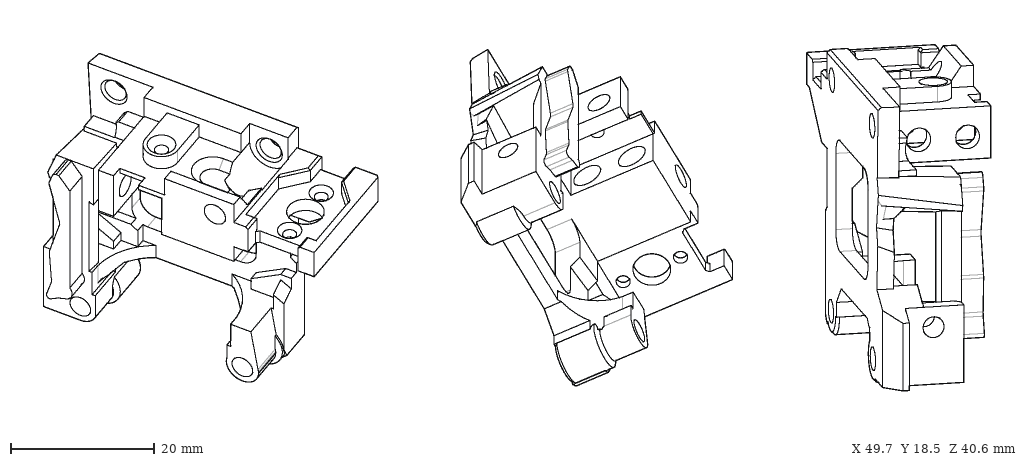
import cadquery as cq
WIDTH = 49.72
DEPTH = 18.48
HEIGHT = 40.57

FRAME_RIGHT = 36.83
FRAME_FOOT_Z = 8.27
FRAME_FRONT_Y = 16.1
PLATE_FRONT_Y = 15.48
LEFT_COLUMN_FRONT_Y = 14.15
RIGHT_COLUMN_FRONT_Y = 14.6
LEFT_COLUMN_SLOPE = 0.42
RIGHT_COLUMN_SLOPE = 0.245
COLUMN_FOOT_Z = 21.8
COLUMN_BEVEL_SLOPE = 0.94
BEAM_FRONT_Y = 12.9
BEAM_TOP_Z = 31.1
BACK_CHAMFER = 0.45
WINDOW_LEFT = 11.45
WINDOW_RIGHT = 31.37
WINDOW_BOTTOM = 13.45
WINDOW_TOP = 29.48
WINDOW_RADIUS = 2.5
RIGHT_LEG_X = 37.8
FIN_FRONT_Y = 12.56
HEEL_BEVEL_LENGTH = 0.85

LUG_RADIUS = 3.35
LUG_Z = LUG_RADIUS
LUG_FRONT_Y = 11.7
LUG_FULL_Y = 12.24
LEFT_LUG_X = 8.4
RIGHT_LUG_X = 34.38
LUG_HOLE_D = 3.3
ARM_RADIUS = 2.5
ARM_FRONT_Y = 6.8
ARM_STEP_Z = 6.4
SHELF_Z = 10.55
WEB_MOUTH_OFFSET = 6.9
WEB_MIDDLE_OFFSET = 3.3
WEB_MIDDLE_Y = 12.7
WEB_END_OFFSET = 1.9

BASE_LEFT = 2.5
BASE_BOTTOM = 0.76
BASE_TOP = 12.0
BASE_RIGHT = LEFT_LUG_X + ARM_RADIUS - 0.1
FLANGE_FRONT_Y = 15.2
WEDGE_FRONT_Y = FIN_FRONT_Y
WEDGE_TOP_Z = 14.25
WEDGE_RIDGE_X = 6.4
BAR_RIGHT = 13.2
BAR_FRONT_Y = 14.65
BASE_CURB_RIGHT = 4.8
BASE_HOLE_Y = 11.15
BASE_HOLE_Z = 9.03
BASE_HOLE_D = 3.0

POST_LEFT = 4.06
POST_RIGHT = 9.8
POST_BACK_Y = 9.1
SHOULDER_TOP_Z = 30.0
SHOULDER_RIGHT = 10.5
SHOULDER_LEAN = 0.35
POST_LEAN = 0.25
STRIP_FRONT_Y = 3.27

BLOCK_LEFT = 15.14
BLOCK_TOP_Z = 37.05
BLOCK_BACK_Y = 13.0
CAVITY_LEFT = 17.55
CAVITY_RIGHT = 25.26
CAVITY_TOP_Z = 36.2
NOTCH_RIGHT = 21.57
NOTCH_DEPTH = 1.8
WALL_LEFT = 25.75
WALL_TOP_Z = 40.1
WALL_TOP_DEPTH = 1.8
WALL_FOOT_DEPTH = 3.9
PAD_X = 21.4
PAD_Y = 6.83
PAD_WIDTH = 5.14
PAD_TOP_Z = 39.3
PAD_HOLE_D = 2.0
PAD_SINK_D = 4.0
SIDE_HOLE_D = 3.4
SIDE_HOLE_Z = 32.75
SIDE_HOLE_YS = (3.34, 10.34)
INNER_HOLE_D = 4.2
INNER_HOLE_END_X = 30.0
HEAD_RADIUS = 3.0
CLIP_LEFT = 10.5
CLIP_TOP_Z = 34.3
CLIP_CHAMFER = 0.6

TOP_HOLE_Z = 36.95
TOP_HOLE_D = 3.4
LEFT_TOP_HOLE_X = 8.92
TOP_SINK_D = 4.2
BARREL_X = 33.8
BARREL_RADIUS = 3.13
BARREL_END_Y = 8.0
BARREL_CONE_END_Y = 6.75
BARREL_CONE_TIP_RADIUS = 1.9
RELIEF_X = 29.15
RELIEF_Y = 7.67
RELIEF_TOP_RADIUS = 3.0
RELIEF_FLOOR_RADIUS = 1.8

RAIL_BOTTOM = 32.2
RAIL_FLOOR_Z = 34.3
RAIL_TOP = 36.75
RAIL_X = 43.1
RAIL_POCKET_HALF = 5.62
RAIL_THROAT_HALF = 2.5
RAIL_BEND_Y = 11.6
RAIL_THROAT_Y = 15.1
RAIL_NOTCH_CORNER = 0.45
RAIL_JAW_HALF = 4.0
RAIL_NOTCH_DEPTH = 2.65
RAIL_CHAMFER = 0.35
RAIL_CORNER_CHAMFER = 0.3
GUSSET_FOOT_Z = 26.27
GUSSET_FOOT_X = 40.2
GUSSET_TIP_X = 47.8
RAIL_HOLE_Y = 9.28
RAIL_HOLE_D = 5.25
RAIL_SCREW_OFFSET = 4.5
RAIL_SCREW_D = 1.95
RAIL_SINK_D = 3.4

OVER = 1.0


def box(x0, x1, y0, y1, z0, z1):
    return cq.Workplane("XY").box(x1 - x0, y1 - y0, z1 - z0, centered=False).translate((x0, y0, z0))


def prism_x(points, x0, x1):
    return cq.Workplane("YZ", origin=(x0, 0, 0)).polyline(points).close().extrude(x1 - x0)


def prism_y(points, y0, y1):
    return cq.Workplane("XZ", origin=(0, y0, 0)).polyline(points).close().extrude(y0 - y1)


def prism_z(points, z0, z1):
    return cq.Workplane("XY", origin=(0, 0, z0)).polyline(points).close().extrude(z1 - z0)


def rod_x(y, z, radius, x0, x1):
    return cq.Workplane("YZ", origin=(x0, y, z)).circle(radius).extrude(x1 - x0)


def rod_y(x, z, radius, y0, y1):
    return cq.Workplane("XZ", origin=(x, y0, z)).circle(radius).extrude(y0 - y1)


def rod_z(x, y, radius, z0, z1):
    return cq.Workplane("XY", origin=(x, y, z0)).circle(radius).extrude(z1 - z0)


def cone(start, direction, radius_start, radius_end, length):
    solid = cq.Solid.makeCone(radius_start, radius_end, length, cq.Vector(*start), cq.Vector(*direction))
    return cq.Workplane(obj=solid)


def ruled(sections):
    wires = [cq.Wire.makePolygon([cq.Vector(*p) for p in section], close=True) for section in sections]
    return cq.Workplane(obj=cq.Solid.makeLoft(wires, True))


def ruled_y(points_a, y_a, points_b, y_b):
    return ruled([[(x, y_a, z) for x, z in points_a], [(x, y_b, z) for x, z in points_b]])


def countersunk_hole_z(x, y, z_top, hole_d, sink_d, z_bottom):
    depth = (sink_d - hole_d) / 2
    hole = rod_z(x, y, hole_d / 2, z_bottom, z_top + OVER)
    return hole.union(cone((x, y, z_top), (0, 0, -1), sink_d / 2, hole_d / 2, depth))


def frame():
    """Thin window frame; the kinks of its left edge dip slightly toward the front."""
    left_back = [(5.95, 30.3), (5.05, 27.9), (6.15, 22.9), (5.4, 20.4), (5.95, 14.0), (5.95, FRAME_FOOT_Z)]
    left_front = [(5.8, 30.1), (4.85, 27.55), (6.1, 22.4), (5.35, 19.4), (5.95, 13.8), (5.95, FRAME_FOOT_Z)]
    right_edge = [
        (33.0, FRAME_FOOT_Z),
        (33.0, LUG_Z),
        (RIGHT_LEG_X, LUG_Z),
        (RIGHT_LEG_X, 17.0),
        (FRAME_RIGHT, 17.8),
        (FRAME_RIGHT, 30.4),
    ]
    body = ruled_y(left_front + right_edge, FRAME_FRONT_Y, left_back + right_edge, DEPTH)
    beam = box(5.6, FRAME_RIGHT, BEAM_FRONT_Y, FRAME_FRONT_Y, WINDOW_TOP, BEAM_TOP_Z)
    return body.union(beam)


def top_plate():
    """Upper plate, thicker behind the block, with its left edge leaning in plan."""
    foot_z = BEAM_TOP_Z - 0.9
    top_x = 4.74
    foot_x = 5.25
    lean = 0.46
    right_edge = [(FRAME_RIGHT, foot_z), (FRAME_RIGHT, HEIGHT)]
    back = [(top_x + lean, HEIGHT), (foot_x + lean, foot_z)] + right_edge
    front = [(top_x, HEIGHT), (foot_x, foot_z)] + right_edge
    plate = ruled_y(front, PLATE_FRONT_Y, back, DEPTH)
    plate = plate.union(box(BLOCK_LEFT, FRAME_RIGHT, BLOCK_BACK_Y, DEPTH, WINDOW_TOP, HEIGHT))
    corner = [(DEPTH - BACK_CHAMFER, HEIGHT), (DEPTH, HEIGHT - BACK_CHAMFER), (DEPTH, HEIGHT)]
    return plate.cut(prism_x(corner, 0, WIDTH))


def bevelled_column(x_inner, x_outer, slope, front_y):
    """Thick upper end of a frame leg; its underside climbs away from the window."""
    toward_window = WINDOW_RADIUS if x_inner > x_outer else -WINDOW_RADIUS
    x_start = x_inner + toward_window
    bevel_top_z = COLUMN_FOOT_Z + (FRAME_FRONT_Y - front_y) * COLUMN_BEVEL_SLOPE

    def section(x):
        rise = (abs(x - x_start) - WINDOW_RADIUS) * slope
        return [
            (x, DEPTH, WINDOW_TOP),
            (x, front_y, WINDOW_TOP),
            (x, front_y, bevel_top_z + rise),
            (x, FRAME_FRONT_Y, COLUMN_FOOT_Z + rise),
            (x, DEPTH, COLUMN_FOOT_Z + rise),
        ]

    return ruled([section(x_start), section(x_outer)])


def left_column():
    """Left leg's thick upper end, trimmed to the leaning outer face of the frame."""
    column = bevelled_column(WINDOW_LEFT, POST_LEFT, LEFT_COLUMN_SLOPE, LEFT_COLUMN_FRONT_Y)
    foot_z = COLUMN_FOOT_Z - OVER
    right = WINDOW_LEFT + WINDOW_RADIUS
    front = [(4.5, 27.3), (5.85, foot_z), (right, foot_z), (right, WINDOW_TOP), (5.35, WINDOW_TOP)]
    back = [(5.15, 27.9), (6.7, foot_z), (right, foot_z), (right, WINDOW_TOP), (5.85, WINDOW_TOP)]
    return column.intersect(ruled_y(front, LEFT_COLUMN_FRONT_Y, back, DEPTH))


def shoulder():
    """Sloping bridge from the frame forward to the top of the post."""
    front = [(4.54, 30.0), (3.17, 26.2), (3.45, 25.3), (BAR_RIGHT, 22.5), (BAR_RIGHT, 30.0)]
    back = [(5.9, 30.4), (5.0, 27.9), (5.45, 26.3), (BAR_RIGHT, 23.2), (BAR_RIGHT, 30.4)]
    body = ruled_y(front, ARM_FRONT_Y, back, DEPTH)
    plan = [
        (0, ARM_FRONT_Y),
        (SHOULDER_RIGHT, ARM_FRONT_Y),
        (SHOULDER_RIGHT + SHOULDER_LEAN, LEFT_COLUMN_FRONT_Y),
        (SHOULDER_RIGHT + SHOULDER_LEAN, DEPTH),
        (0, DEPTH),
    ]
    return body.intersect(prism_z(plan, 0, HEIGHT))


def post():
    lean = POST_BACK_Y - ARM_FRONT_Y
    plan = [
        (POST_LEFT, ARM_FRONT_Y),
        (POST_RIGHT, ARM_FRONT_Y),
        (POST_RIGHT + POST_LEAN, POST_BACK_Y),
        (POST_LEFT + lean, POST_BACK_Y),
    ]
    return prism_z(plan, SHELF_Z - OVER, SHOULDER_TOP_Z - OVER)


def spring_strip():
    return (
        cq.Workplane("XZ", origin=(0, STRIP_FRONT_Y, 0))
        .moveTo(6.95, 29.9)
        .lineTo(6.5, 29.95)
        .threePointArc((6.15, 29.8), (5.85, 29.35))
        .lineTo(5.42, 28.1)
        .threePointArc((5.35, 27.8), (5.42, 27.5))
        .lineTo(6.98, 21.5)
        .threePointArc((7.08, 21.0), (6.98, 20.55))
        .lineTo(5.5, 15.4)
        .threePointArc((5.44, 15.15), (5.42, 14.9))
        .lineTo(5.76, 9.9)
        .threePointArc((5.75, 9.6), (5.7, 9.3))
        .lineTo(4.98, 7.0)
        .threePointArc((5.15, 6.4), (5.8, 6.4))
        .lineTo(6.85, 7.0)
        .lineTo(8.45, 7.5)
        .threePointArc((9.05, 8.5), (8.7, 9.7))
        .lineTo(8.7, 27.8)
        .close()
        .extrude(STRIP_FRONT_Y - ARM_FRONT_Y)
    )


def base():
    """Drilled block under the post, with a ridged wedge and a side flange behind it."""
    block = box(BASE_LEFT, BASE_RIGHT, ARM_FRONT_Y, FRAME_FRONT_Y, BASE_BOTTOM, SHELF_Z)
    curb = box(BASE_LEFT, BASE_CURB_RIGHT, ARM_FRONT_Y, WEDGE_FRONT_Y, SHELF_Z, BASE_TOP)
    wedge_outline = [
        (0, BASE_BOTTOM),
        (0, SHELF_Z),
        (WEDGE_RIDGE_X, WEDGE_TOP_Z),
        (SHOULDER_RIGHT, BASE_TOP),
        (SHOULDER_RIGHT, BASE_BOTTOM),
    ]
    plan = [
        (BASE_LEFT, WEDGE_FRONT_Y),
        (BAR_RIGHT, WEDGE_FRONT_Y),
        (BAR_RIGHT, DEPTH),
        (DEPTH - FRAME_FRONT_Y, DEPTH),
        (0, FRAME_FRONT_Y),
        (0, FLANGE_FRONT_Y),
        (BASE_LEFT, FLANGE_FRONT_Y),
    ]
    wedge = prism_y(wedge_outline, WEDGE_FRONT_Y, DEPTH).intersect(prism_z(plan, 0, HEIGHT))
    bar = box(WEDGE_RIDGE_X, BAR_RIGHT, BAR_FRONT_Y, FRAME_FRONT_Y, SHELF_Z, WEDGE_TOP_Z)
    body = block.union(curb).union(wedge).union(bar)
    corner = box(LEFT_LUG_X, BAR_RIGHT, 0, DEPTH, 0, LUG_Z)
    corner = corner.cut(rod_y(LEFT_LUG_X, LUG_Z, LUG_Z - BASE_BOTTOM, 0, DEPTH))
    side_relief = box(LEFT_LUG_X + WEB_END_OFFSET, BAR_RIGHT, 0, WEDGE_FRONT_Y, ARM_STEP_Z, SHELF_Z)
    hole = rod_x(BASE_HOLE_Y, BASE_HOLE_Z, BASE_HOLE_D / 2, 0, BASE_RIGHT)
    return body.cut(corner).cut(side_relief).cut(hole)


def lug(x):
    """Round lug with a small back chamfer and a steep cone at its front end."""
    cone_length = LUG_FULL_Y - LUG_FRONT_Y
    body = rod_y(x, LUG_Z, LUG_RADIUS, LUG_FULL_Y, DEPTH).faces(">Y").edges().chamfer(BACK_CHAMFER)
    return body.union(cone((x, LUG_FULL_Y, LUG_Z), (0, -1, 0), LUG_RADIUS, LUG_Z - BASE_BOTTOM, cone_length))


def curved_web(lug_x, side, outline):
    """Web between the lower beam and a foot, hollowed by an upright curved face."""
    mouth_x = lug_x - side * WEB_MOUTH_OFFSET
    middle = (lug_x - side * WEB_MIDDLE_OFFSET, WEB_MIDDLE_Y)
    end = (lug_x - side * WEB_END_OFFSET, ARM_FRONT_Y)
    plan = (
        cq.Workplane("XY")
        .moveTo(mouth_x, FRAME_FRONT_Y)
        .threePointArc(middle, end)
        .lineTo(lug_x, ARM_FRONT_Y)
        .lineTo(lug_x, DEPTH)
        .lineTo(mouth_x, DEPTH)
        .close()
        .extrude(HEIGHT)
    )
    return prism_y(outline, ARM_FRONT_Y, DEPTH).intersect(plan)


def left_web():
    outline = [
        (LEFT_LUG_X, SHELF_Z),
        (LEFT_LUG_X + WEB_MOUTH_OFFSET, SHELF_Z),
        (LEFT_LUG_X + WEB_MOUTH_OFFSET, FRAME_FOOT_Z),
        (11.9, FRAME_FOOT_Z),
        (BASE_RIGHT, 7.3),
        (LEFT_LUG_X, 7.3),
    ]
    return curved_web(LEFT_LUG_X, -1, outline)


def right_foot():
    web_outline = [
        (RIGHT_LUG_X, SHELF_Z),
        (RIGHT_LUG_X - WEB_MOUTH_OFFSET, SHELF_Z),
        (RIGHT_LUG_X - WEB_MOUTH_OFFSET, FRAME_FOOT_Z),
        (28.0, FRAME_FOOT_Z),
        (31.0, 5.5),
        (31.0, LUG_Z),
        (RIGHT_LUG_X, LUG_Z),
    ]
    web = curved_web(RIGHT_LUG_X, 1, web_outline)
    arm_outline = [
        (RIGHT_LUG_X - ARM_RADIUS, LUG_Z),
        (RIGHT_LUG_X - ARM_RADIUS, ARM_STEP_Z),
        (RIGHT_LUG_X - WEB_END_OFFSET, ARM_STEP_Z),
        (RIGHT_LUG_X - WEB_END_OFFSET, SHELF_Z),
        (35.75, SHELF_Z),
        (37.0, LUG_Z),
    ]
    arm = prism_y(arm_outline, ARM_FRONT_Y, DEPTH)
    arm = arm.union(rod_y(RIGHT_LUG_X, LUG_Z, LUG_Z - BASE_BOTTOM, ARM_FRONT_Y, DEPTH))
    heel_top = [(RIGHT_LUG_X, SHELF_Z), (RIGHT_LEG_X, SHELF_Z)]
    heel_back = heel_top + [(RIGHT_LEG_X, 1.9), (36.8, 0.95), (RIGHT_LUG_X, LUG_Z)]
    heel_front = heel_top + [(RIGHT_LEG_X, 3.6), (36.3, 1.6), (RIGHT_LUG_X, LUG_Z)]
    bevel_end_y = FIN_FRONT_Y + HEEL_BEVEL_LENGTH
    heel = prism_y(heel_back, bevel_end_y, DEPTH)
    heel = heel.union(ruled_y(heel_front, FIN_FRONT_Y, heel_back, bevel_end_y))
    return web.union(arm).union(heel).union(lug(RIGHT_LUG_X))


def right_leg_rib():
    """Slanted rib on the right leg and the short fin in front of it."""
    fin_left = 36.1
    fin_drop = 1.2
    foot_z = SHELF_Z - OVER
    rib_outline = [
        (WINDOW_RIGHT, foot_z),
        (WINDOW_RIGHT, 12.5),
        (fin_left, 15.34),
        (RIGHT_LEG_X, 15.34),
        (RIGHT_LEG_X, foot_z),
    ]
    fin_foot = [(RIGHT_LEG_X, foot_z), (fin_left, foot_z)]
    fin_top = [(fin_left, 14.35), (RIGHT_LEG_X, 13.4)]
    fin_back = fin_foot + fin_top
    fin_front = fin_foot + [(x, z - fin_drop) for x, z in fin_top]
    rib = prism_y(rib_outline, BAR_FRONT_Y, FRAME_FRONT_Y)
    return rib.union(ruled_y(fin_front, FIN_FRONT_Y, fin_back, BAR_FRONT_Y))


def clip():
    """Small block left of the top block, hollowed to clear a screw head."""
    outline = [
        (CLIP_LEFT, BEAM_TOP_Z),
        (CLIP_LEFT, CLIP_TOP_Z - CLIP_CHAMFER),
        (CLIP_LEFT + CLIP_CHAMFER, CLIP_TOP_Z),
        (BLOCK_LEFT, CLIP_TOP_Z),
        (BLOCK_LEFT, BEAM_TOP_Z),
    ]
    body = prism_y(outline, BEAM_FRONT_Y, PLATE_FRONT_Y)
    return body.cut(rod_x(SIDE_HOLE_YS[1], SIDE_HOLE_Z, HEAD_RADIUS, 0, BLOCK_LEFT))


def top_block():
    body = box(BLOCK_LEFT, FRAME_RIGHT, 0, BLOCK_BACK_Y, WINDOW_TOP, BLOCK_TOP_Z)
    wall = [(0, BLOCK_TOP_Z), (0, WALL_TOP_Z), (WALL_TOP_DEPTH, WALL_TOP_Z), (WALL_FOOT_DEPTH, BLOCK_TOP_Z)]
    body = body.union(prism_x(wall, WALL_LEFT, FRAME_RIGHT))
    half = PAD_WIDTH / 2
    pad = box(PAD_X - half, PAD_X + half, PAD_Y, BLOCK_BACK_Y, CAVITY_TOP_Z, PAD_TOP_Z)
    pad = pad.union(rod_z(PAD_X, PAD_Y, half, CAVITY_TOP_Z, PAD_TOP_Z))
    body = body.union(pad)
    body = body.cut(box(CAVITY_LEFT, CAVITY_RIGHT, -OVER, BEAM_FRONT_Y, 0, CAVITY_TOP_Z))
    body = body.cut(box(CAVITY_LEFT, NOTCH_RIGHT, -OVER, NOTCH_DEPTH, 0, HEIGHT))
    body = body.cut(countersunk_hole_z(PAD_X, PAD_Y, PAD_TOP_Z, PAD_HOLE_D, PAD_SINK_D, 0))
    for y in SIDE_HOLE_YS:
        body = body.cut(rod_x(y, SIDE_HOLE_Z, SIDE_HOLE_D / 2, 0, CAVITY_RIGHT))
        body = body.cut(rod_x(y, SIDE_HOLE_Z, INNER_HOLE_D / 2, CAVITY_RIGHT, INNER_HOLE_END_X))
    return body


def barrel_cutter():
    """Stepped round seat along Y, open at the top, ending in a cone and a screw hole."""
    seat = rod_y(BARREL_X, TOP_HOLE_Z, BARREL_RADIUS, BARREL_END_Y, PLATE_FRONT_Y)
    left = BARREL_X - BARREL_RADIUS
    mouth = box(left, FRAME_RIGHT + OVER, BARREL_END_Y, PLATE_FRONT_Y, BLOCK_TOP_Z, HEIGHT + OVER)
    tip_length = BARREL_END_Y - BARREL_CONE_END_Y
    tip_start = (BARREL_X, BARREL_END_Y, TOP_HOLE_Z)
    tip = cone(tip_start, (0, -1, 0), BARREL_RADIUS, BARREL_CONE_TIP_RADIUS, tip_length)
    hole = rod_y(BARREL_X, TOP_HOLE_Z, TOP_HOLE_D / 2, -OVER, BARREL_END_Y)
    return seat.union(mouth).union(tip).union(hole)


def relief_cutter():
    """Round-ended recess beside the barrel seat with 45 degree sides."""
    depth = RELIEF_TOP_RADIUS - RELIEF_FLOOR_RADIUS
    floor_z = BLOCK_TOP_Z - depth
    end = cone((RELIEF_X, RELIEF_Y, BLOCK_TOP_Z), (0, 0, -1), RELIEF_TOP_RADIUS, RELIEF_FLOOR_RADIUS, depth)
    channel = [
        (RELIEF_Y - RELIEF_TOP_RADIUS, BLOCK_TOP_Z),
        (RELIEF_Y - RELIEF_FLOOR_RADIUS, floor_z),
        (RELIEF_Y + RELIEF_FLOOR_RADIUS, floor_z),
        (RELIEF_Y + RELIEF_TOP_RADIUS, BLOCK_TOP_Z),
    ]
    return end.union(prism_x(channel, RELIEF_X, BARREL_X))


def rail_pocket_plan(widening):
    """Plan of the rail pocket; the widening moves every edge but the long sides outward."""
    right_side = [
        (RAIL_JAW_HALF + widening, -OVER),
        (RAIL_JAW_HALF + widening, RAIL_NOTCH_DEPTH - widening),
        (RAIL_POCKET_HALF, RAIL_NOTCH_DEPTH - widening),
        (RAIL_POCKET_HALF, RAIL_BEND_Y + widening),
        (RAIL_THROAT_HALF + widening, RAIL_THROAT_Y),
        (RAIL_THROAT_HALF + widening, DEPTH + OVER),
    ]
    left_side = [(-x, y) for x, y in reversed(right_side)]
    return [(RAIL_X + x, y) for x, y in right_side + left_side]


def rail_pocket_cutter():
    chamfer_z = RAIL_TOP - RAIL_CHAMFER
    lower = [(x, y, chamfer_z) for x, y in rail_pocket_plan(0)]
    upper = [(x, y, RAIL_TOP) for x, y in rail_pocket_plan(RAIL_CHAMFER)]
    return prism_z(rail_pocket_plan(0), RAIL_FLOOR_Z, RAIL_TOP).union(ruled([lower, upper]))


def rail_notch_cutter():
    """Notch between the jaws in the floor's front edge, with cut inner corners."""
    corner = RAIL_NOTCH_CORNER
    left = RAIL_X - RAIL_JAW_HALF
    right = RAIL_X + RAIL_JAW_HALF
    plan = [
        (left, -OVER),
        (left, RAIL_NOTCH_DEPTH - corner),
        (left + corner, RAIL_NOTCH_DEPTH),
        (right - corner, RAIL_NOTCH_DEPTH),
        (right, RAIL_NOTCH_DEPTH - corner),
        (right, -OVER),
    ]
    return prism_z(plan, 0, RAIL_FLOOR_Z)


def rail_bracket():
    body = box(FRAME_RIGHT, WIDTH, 0, DEPTH, RAIL_BOTTOM, RAIL_TOP)
    body = body.edges("|Z and >X and >Y").chamfer(RAIL_CORNER_CHAMFER)
    body = body.cut(rail_pocket_cutter()).cut(rail_notch_cutter())
    for x0, x1, top in (
        (FRAME_RIGHT, RAIL_X - RAIL_THROAT_HALF, RAIL_TOP),
        (RAIL_X - RAIL_THROAT_HALF, RAIL_X + RAIL_THROAT_HALF, RAIL_FLOOR_Z),
    ):
        edge = [(DEPTH - BACK_CHAMFER, top), (DEPTH, top - BACK_CHAMFER), (DEPTH, top)]
        body = body.cut(prism_x(edge, x0, x1))
    body = body.cut(rod_z(RAIL_X, RAIL_HOLE_Y, RAIL_HOLE_D / 2, 0, HEIGHT))
    for side in (-1, 1):
        y = RAIL_HOLE_Y + side * RAIL_SCREW_OFFSET
        body = body.cut(countersunk_hole_z(RAIL_X, y, RAIL_FLOOR_Z, RAIL_SCREW_D, RAIL_SINK_D, 0))
    gusset = [
        (FRAME_RIGHT, RAIL_BOTTOM),
        (FRAME_RIGHT, GUSSET_FOOT_Z),
        (GUSSET_FOOT_X, GUSSET_FOOT_Z),
        (GUSSET_TIP_X, RAIL_BOTTOM),
    ]
    return body.union(prism_y(gusset, PLATE_FRONT_Y, DEPTH))


def window_cutter():
    width = WINDOW_RIGHT - WINDOW_LEFT
    height = WINDOW_TOP - WINDOW_BOTTOM
    centre = ((WINDOW_LEFT + WINDOW_RIGHT) / 2, 0, (WINDOW_BOTTOM + WINDOW_TOP) / 2)
    block = cq.Workplane("XY").box(width, 3 * DEPTH, height).translate(centre)
    return block.edges("|Y").fillet(WINDOW_RADIUS)


def top_hole_cutter(x):
    hole = rod_y(x, TOP_HOLE_Z, TOP_HOLE_D / 2, PLATE_FRONT_Y - OVER, DEPTH + OVER)
    depth = (TOP_SINK_D - TOP_HOLE_D) / 2
    start = (x, PLATE_FRONT_Y, TOP_HOLE_Z)
    return hole.union(cone(start, (0, 1, 0), TOP_SINK_D / 2, TOP_HOLE_D / 2, depth))


result = frame().union(top_plate())
result = result.union(left_column())
result = result.union(bevelled_column(WINDOW_RIGHT, FRAME_RIGHT, RIGHT_COLUMN_SLOPE, RIGHT_COLUMN_FRONT_Y))
for piece in (shoulder(), post(), base(), left_web(), lug(LEFT_LUG_X), right_foot(), right_leg_rib()):
    result = result.union(piece)
result = result.cut(window_cutter())
for piece in (spring_strip(), clip(), top_block(), rail_bracket()):
    result = result.union(piece)
result = result.cut(barrel_cutter()).cut(relief_cutter())
for hole_x in (LEFT_TOP_HOLE_X, BARREL_X):
    result = result.cut(top_hole_cutter(hole_x))
for lug_x in (LEFT_LUG_X, RIGHT_LUG_X):
    result = result.cut(rod_y(lug_x, LUG_Z, LUG_HOLE_D / 2, ARM_FRONT_Y - OVER, DEPTH + OVER))